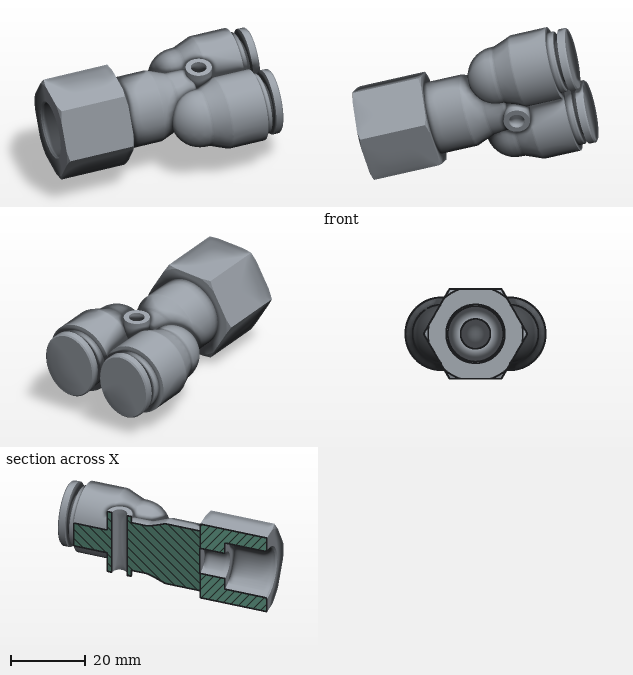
import cadquery as cq
import math


NUT_FLATS = 24.0
NUT_LENGTH = 19.0
NUT_FACE_DIA = 25.3
NUT_CHAMFER_ANGLE = 23.0
BORE_DIA = 14.8
BORE_DEPTH = 12.0
BORE_MOUTH_DIA = 15.7
PASSAGE_DIA = 8.0

TUBE_DIA = 19.5
NECK_DIA = 15.6
BRANCH_SPACING = 18.0
BRANCH_CENTERS = (-BRANCH_SPACING / 2, BRANCH_SPACING / 2)
HOUSING_END_Y = 55.0
BRANCH_SHOULDER_Y = 45.0
STEM_SHOULDER_Y = 29.0
CONE_LENGTH = 5.0
DOME_CENTER_Y = 39.0
STEM_END_Y = 40.0
EDGE_FILLET = 1.0

EYE_Y = 42.0
EYE_DIA = 7.0
EYE_HOLE_DIA = 4.2

COLLAR_DIA = 16.5
COLLAR_END_Y = 56.75
COLLAR_CHAMFER = 0.25
SLEEVE_NECK_DIA = 11.7
FLANGE_START_Y = 57.9
SLEEVE_END_Y = 60.0
FLANGE_WIDTH = 16.0
FLANGE_HEIGHT = 18.6
FLANGE_CHAMFER = 0.35


def plane_at(y):
    """Plane across the Y axis at height y, with its normal along +Y and its local x along +X."""
    return cq.Workplane(cq.Plane(origin=(0, y, 0), xDir=(1, 0, 0), normal=(0, 1, 0)))


def cylinder(diameter, start_y, end_y):
    return plane_at(start_y).circle(diameter / 2).extrude(end_y - start_y)


def turn(outline):
    """Solid of revolution about the Y axis."""
    return outline.close().revolve(360, (0, 0, 0), (0, 1, 0))


def edge_around_axis(y):
    """Selector for the circular edge whose center is on the Y axis, nearest to the place y."""
    return cq.selectors.NearestToPointSelector((0, y, 0))


def make_nut():
    corner_dia = NUT_FLATS / math.cos(math.pi / 6)
    hexagon = plane_at(0).polygon(6, corner_dia).extrude(NUT_LENGTH)

    corner_radius = corner_dia / 2
    face_radius = NUT_FACE_DIA / 2
    bevel = (corner_radius - face_radius) * math.tan(math.radians(NUT_CHAMFER_ANGLE))
    envelope_outline = cq.Workplane("XY").polyline([
        (0, 0),
        (face_radius, 0),
        (corner_radius, bevel),
        (corner_radius, NUT_LENGTH - bevel),
        (face_radius, NUT_LENGTH),
        (0, NUT_LENGTH),
    ])
    envelope = turn(envelope_outline)

    bore = cylinder(BORE_DIA, 0, BORE_DEPTH)
    passage = cylinder(PASSAGE_DIA, BORE_DEPTH, NUT_LENGTH)
    nut = hexagon.intersect(envelope).cut(bore).cut(passage)

    mouth_chamfer = (BORE_MOUTH_DIA - BORE_DIA) / 2
    return nut.faces("<Y").edges(edge_around_axis(0)).chamfer(mouth_chamfer)


def start_tapered_outline(end_y, shoulder_y, neck_end_y):
    """Open half outline from the axis: full diameter, cone, and the neck up to neck_end_y."""
    return (
        cq.Workplane("XY")
        .moveTo(0, end_y)
        .lineTo(TUBE_DIA / 2, end_y)
        .lineTo(TUBE_DIA / 2, shoulder_y)
        .lineTo(NECK_DIA / 2, cone_end(end_y, shoulder_y))
        .lineTo(NECK_DIA / 2, neck_end_y)
    )


def cone_end(end_y, shoulder_y):
    """Y of the narrow end of a cone that starts at the shoulder and points away from end_y."""
    return shoulder_y + math.copysign(CONE_LENGTH, shoulder_y - end_y)


def round_edges(solid, edge_places):
    """Fillet the circular edges that lie around the Y axis at the given Y places."""
    for y in edge_places:
        solid = solid.edges(edge_around_axis(y)).fillet(EDGE_FILLET)
    return solid


def make_stem():
    """Arm from the nut to between the branches, with a flat, rounded-off end."""
    outline = start_tapered_outline(NUT_LENGTH, STEM_SHOULDER_Y, STEM_END_Y).lineTo(0, STEM_END_Y)
    cone_end_y = cone_end(NUT_LENGTH, STEM_SHOULDER_Y)
    return round_edges(turn(outline), (STEM_SHOULDER_Y, cone_end_y, STEM_END_Y))


def make_branch():
    """Arm for one tube, on the Y axis, closed by a hemisphere."""
    dome_radius = NECK_DIA / 2
    dome_mid = dome_radius * math.sqrt(0.5)
    outline = start_tapered_outline(HOUSING_END_Y, BRANCH_SHOULDER_Y, DOME_CENTER_Y).threePointArc(
        (dome_mid, DOME_CENTER_Y - dome_mid),
        (0, DOME_CENTER_Y - dome_radius),
    )
    cone_end_y = cone_end(HOUSING_END_Y, BRANCH_SHOULDER_Y)
    return round_edges(turn(outline), (BRANCH_SHOULDER_Y, cone_end_y))


def make_housing():
    housing = make_stem()
    branch = make_branch()
    for x in BRANCH_CENTERS:
        housing = housing.union(branch.translate((x, 0, 0)))

    eye_start = cq.Workplane("XY", origin=(0, EYE_Y, -TUBE_DIA / 2))
    eye = eye_start.circle(EYE_DIA / 2).extrude(TUBE_DIA)
    eye_hole = eye_start.circle(EYE_HOLE_DIA / 2).extrude(TUBE_DIA)
    return housing.union(eye).cut(eye_hole)


def make_collar(x):
    collar = cylinder(COLLAR_DIA, HOUSING_END_Y, COLLAR_END_Y)
    return collar.faces(">Y").chamfer(COLLAR_CHAMFER).translate((x, 0, 0))


def make_sleeve(x):
    """Release sleeve: a round neck standing on the collar, under an oval push flange."""
    flange = (
        plane_at(FLANGE_START_Y)
        .ellipse(FLANGE_WIDTH / 2, FLANGE_HEIGHT / 2)
        .extrude(SLEEVE_END_Y - FLANGE_START_Y)
        .faces(">Y")
        .chamfer(FLANGE_CHAMFER)
    )
    neck = cylinder(SLEEVE_NECK_DIA, COLLAR_END_Y, FLANGE_START_Y)
    return flange.union(neck).translate((x, 0, 0))


nut = make_nut()
housing = make_housing()
collars = [make_collar(x) for x in BRANCH_CENTERS]
sleeves = [make_sleeve(x) for x in BRANCH_CENTERS]

result = cq.Compound.makeCompound([
    nut.val(),
    housing.val(),
    *[collar.val() for collar in collars],
    *[sleeve.val() for sleeve in sleeves],
])